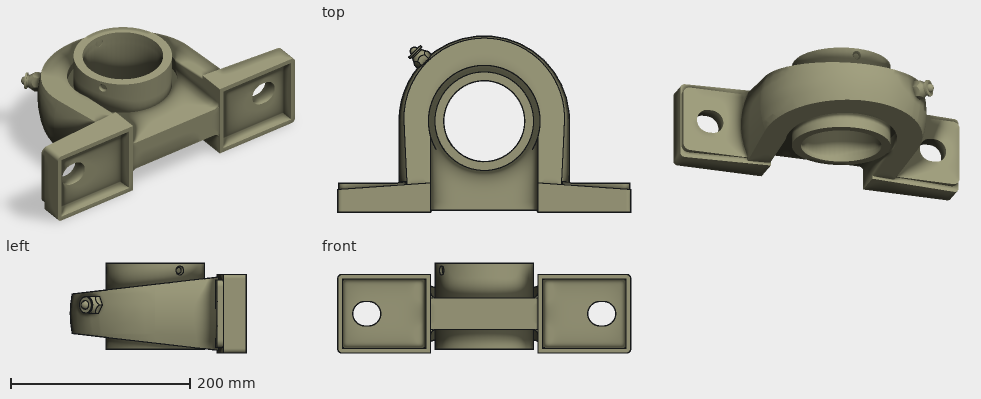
import cadquery as cq
import math


shaft_height = 101.6
base_length = 327.0
base_depth = 88.0
gap_half_width = 59.75
base_y = -shaft_height

foot_end_height = 25.4
foot_inner_height = 32.8
foot_corner_radius = 5.0
pad_height = 32.6
pad_end_inset = 1.0
pad_half_depth = 37.8
pad_corner_radius = 8.0
pocket_wall = 5.3
pocket_depth = 15.0
pocket_inner_draft = 1.0
pocket_floor_fillet = 1.2
bolt_spacing = 262.0
bolt_slot_length = 31.0
bolt_slot_width = 27.0

arch_radius = 95.21
crown_radius = 96.0
apex_edge_y = 92.8
apex_half_thickness = 22.1
arch_foot_y = base_y + pad_height
arch_foot_half_thickness = 40.8
arch_root_fillet = 1.6
arch_embed = 4.0

web_half_thickness = 17.7
web_lift = 2.0
web_corner_radius = 2.3
floor_fillet_radius = 6.0
recess_radius = 62.3
channel_edge_radius = 2.0

insert_diameter = 110.0
bore_diameter = 90.0
insert_bottom_z = -39.7
insert_top_z = 56.3

screw_z = 48.2
screw_angles = (90.0, 210.0)
screw_diameter = 10.0
socket_diameter = 6.6
socket_depth = 3.0
screw_end_gap = 0.3

nipple_angle = 135.0
nipple_z = 9.8
hex_across_flats = 18.9
hex_start = 85.0
hex_cone_start = 99.0
neck_radius = 7.0
neck_distance = 106.0
collar_radius = 9.3
collar_start = 107.8
collar_end = 110.0
head_radius = 4.9

clearance = 10.0


def mirrored(body):
    """Return the body together with its mirror image in the YZ plane."""
    return body.union(body.mirror("YZ"))


def arch_half_thickness(y):
    """Half the tapered arch thickness at height y."""
    slope = (arch_foot_half_thickness - apex_half_thickness) / (apex_edge_y - arch_foot_y)
    return apex_half_thickness + slope * (apex_edge_y - y)


def make_arch():
    """Crowned half ring with two straight legs, tapering in thickness towards the apex."""
    leg_bottom_y = arch_foot_y - arch_embed
    half = arch_half_thickness(leg_bottom_y)
    crown_drop = crown_radius - math.sqrt(crown_radius**2 - half**2)
    edge_radius = arch_radius - crown_drop

    crowned_half = (
        cq.Workplane("XZ")
        .moveTo(0, -half)
        .lineTo(edge_radius, -half)
        .threePointArc((arch_radius, 0), (edge_radius, half))
        .lineTo(0, half)
        .close()
    )
    dome = crowned_half.revolve(360, (0, 0, 0), (0, 1, 0))
    legs = (
        cq.Workplane("XZ")
        .moveTo(-edge_radius, -half)
        .lineTo(edge_radius, -half)
        .threePointArc((arch_radius, 0), (edge_radius, half))
        .lineTo(-edge_radius, half)
        .threePointArc((-arch_radius, 0), (-edge_radius, -half))
        .close()
        .extrude(-leg_bottom_y)
    )
    top_half = arch_half_thickness(arch_radius)
    taper = (
        cq.Workplane("YZ")
        .polyline([
            (leg_bottom_y, -half),
            (arch_radius, -top_half),
            (arch_radius, top_half),
            (leg_bottom_y, half),
        ])
        .close()
        .extrude(arch_radius, both=True)
    )
    return dome.union(legs).intersect(taper)


def make_web():
    """Slab that joins the legs and the feet, with rounded corners against the feet."""
    bottom_y = base_y + web_lift
    slab = cq.Workplane("XY").box(
        2 * gap_half_width, -bottom_y, 2 * (web_half_thickness + floor_fillet_radius)
    ).translate((0, bottom_y / 2, 0))
    for side in (1, -1):
        slab = slab.cut(make_channel(side))
    middle_of_arc = 1 - math.sqrt(0.5)
    corner = (
        cq.Workplane("XY", origin=(0, 0, -web_half_thickness))
        .moveTo(-gap_half_width, bottom_y)
        .lineTo(-gap_half_width, base_y)
        .threePointArc(
            (-gap_half_width + web_corner_radius * middle_of_arc, bottom_y - web_lift * middle_of_arc),
            (-gap_half_width + web_corner_radius, bottom_y),
        )
        .close()
        .extrude(2 * web_half_thickness)
    )
    return slab.union(mirrored(corner))


def make_channel(side):
    """Space between the legs on one face, with filleted floor corners; side is +1 or -1."""
    height = base_depth
    channel = (
        cq.Workplane("XY")
        .box(2 * gap_half_width, shaft_height, height)
        .edges("|Y and <Z")
        .fillet(floor_fillet_radius)
        .translate((0, base_y / 2, web_half_thickness + height / 2))
    )
    return channel if side > 0 else channel.mirror("XY")


def round_channel_edges(arch):
    """Round the edges where the channel walls meet the sloping arch faces."""
    middle_y = arch_foot_y / 2
    for x in (-gap_half_width, gap_half_width):
        for side in (1, -1):
            point = (x, middle_y, side * arch_half_thickness(middle_y))
            arch = arch.edges(cq.NearestToPointSelector(point)).fillet(channel_edge_radius)
    return arch


def make_housing():
    """Arch with its channel and round recess on both faces."""
    arch = make_arch()
    for side in (1, -1):
        arch = arch.cut(make_channel(side))
    arch = round_channel_edges(arch).union(make_web())
    recess = cq.Workplane("XY", origin=(0, 0, web_half_thickness)).circle(recess_radius).extrude(base_depth)
    return arch.cut(recess).cut(recess.mirror("XY"))


def make_left_foot():
    """Hollow foot on the -X side with a sloping top, a flat bolt pad and a bolt slot."""
    end_x = -base_length / 2
    body = (
        cq.Workplane("XY", origin=(0, 0, -base_depth / 2))
        .polyline([
            (end_x, base_y),
            (-gap_half_width, base_y),
            (-gap_half_width, base_y + foot_inner_height),
            (end_x, base_y + foot_end_height),
        ])
        .close()
        .extrude(base_depth)
        .edges("|Y and <X")
        .fillet(foot_corner_radius)
    )
    pad_end_x = end_x + pad_end_inset
    pad_length = -gap_half_width - pad_end_x
    pad_base_y = base_y + pocket_depth
    pad_thickness = pad_height - pocket_depth
    pad = (
        cq.Workplane("XY")
        .box(pad_length, pad_thickness, 2 * pad_half_depth)
        .edges("|Y and <X")
        .fillet(pad_corner_radius)
        .translate((pad_end_x + pad_length / 2, pad_base_y + pad_thickness / 2, 0))
    )
    return body.union(pad).cut(make_pocket(end_x)).cut(make_bolt_slot())


def make_pocket(end_x):
    """Cutter for the pocket in the underside of the left foot, with a rounded floor."""
    outer_x = end_x + pocket_wall
    inner_x = -gap_half_width - pocket_wall
    half_depth = base_depth / 2 - pocket_wall
    floor_y = base_y + pocket_depth
    return (
        cq.Workplane("XY", origin=(0, 0, -half_depth))
        .polyline([
            (outer_x, base_y),
            (inner_x, base_y),
            (inner_x - pocket_inner_draft, floor_y),
            (outer_x, floor_y),
        ])
        .close()
        .extrude(2 * half_depth)
        .faces(">Y")
        .edges()
        .fillet(pocket_floor_fillet)
    )


def make_bolt_slot():
    """Cutter for the bolt slot through the left foot."""
    return (
        cq.Workplane("XZ", origin=(-bolt_spacing / 2, base_y, 0))
        .slot2D(bolt_slot_length, bolt_slot_width)
        .extrude(-pad_height - clearance)
    )


def make_insert():
    """Bearing insert as a plain ring without its bore."""
    return (
        cq.Workplane("XY", origin=(0, 0, insert_bottom_z))
        .circle(insert_diameter / 2)
        .extrude(insert_top_z - insert_bottom_z)
    )


def make_bore():
    """Cutter for the shaft bore."""
    return (
        cq.Workplane("XY", origin=(0, 0, insert_bottom_z))
        .circle(bore_diameter / 2)
        .extrude(insert_top_z - insert_bottom_z)
    )


def make_screw_recess(angle):
    """Tapered screw socket from outside and the shallow gap at the screw end in the bore."""
    outer = insert_diameter / 2
    screw_radius = screw_diameter / 2
    socket = (
        cq.Workplane("XZ")
        .polyline([
            (outer - socket_depth, 0),
            (outer - socket_depth, socket_diameter / 2),
            (outer, screw_radius),
            (outer + clearance, screw_radius),
            (outer + clearance, 0),
        ])
        .close()
        .revolve(360, (0, 0, 0), (1, 0, 0))
    )
    inner = bore_diameter / 2
    end_gap = (
        cq.Workplane("YZ", origin=(inner - clearance, 0, 0))
        .circle(screw_radius)
        .extrude(clearance + screw_end_gap)
    )
    return socket.union(end_gap).translate((0, 0, screw_z)).rotate((0, 0, 0), (0, 0, 1), angle)


def make_nipple():
    """Hexagonal grease nipple with a collar and a domed head."""
    corner_radius = hex_across_flats / 2 / math.cos(math.pi / 6)
    hexagon = (
        cq.Workplane("YZ", origin=(hex_start, 0, 0))
        .polygon(6, 2 * corner_radius)
        .extrude(neck_distance - hex_start)
    )
    turned_cone = (
        cq.Workplane("XZ")
        .polyline([
            (hex_start, 0),
            (hex_start, corner_radius),
            (hex_cone_start, corner_radius),
            (neck_distance, neck_radius),
            (neck_distance, 0),
        ])
        .close()
        .revolve(360, (0, 0, 0), (1, 0, 0))
    )
    head_diagonal = head_radius * math.sqrt(0.5)
    stem = (
        cq.Workplane("XZ")
        .moveTo(hex_start, 0)
        .lineTo(hex_start, neck_radius)
        .lineTo(collar_start, neck_radius)
        .lineTo(collar_start, collar_radius)
        .lineTo(collar_end, collar_radius)
        .lineTo(collar_end, head_radius)
        .threePointArc((collar_end + head_diagonal, head_diagonal), (collar_end + head_radius, 0))
        .close()
        .revolve(360, (0, 0, 0), (1, 0, 0))
    )
    nipple = hexagon.intersect(turned_cone).union(stem)
    return nipple.translate((0, 0, nipple_z)).rotate((0, 0, 0), (0, 0, 1), nipple_angle)


def round_arch_roots(casting):
    """Fillet the corners between the outer arch face and the bolt pads."""
    for x in (-arch_radius, arch_radius):
        root = cq.NearestToPointSelector((x, arch_foot_y, 0))
        casting = casting.edges(root).fillet(arch_root_fillet)
    return casting


casting = round_arch_roots(make_housing().union(mirrored(make_left_foot())))
result = casting.union(make_nipple()).union(make_insert())
result = result.cut(make_bore())
for screw_angle in screw_angles:
    result = result.cut(make_screw_recess(screw_angle))